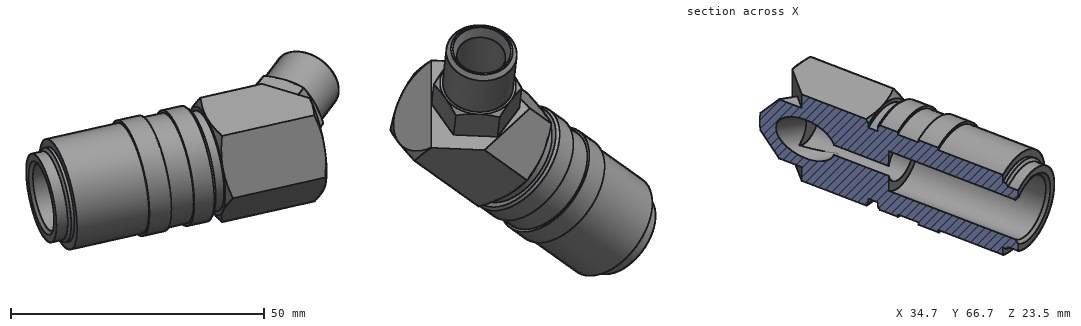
import cadquery as cq
import math

BRANCH_ANGLE = 45
BRANCH_Y = 44.7
HEX_CHAMFER_ANGLE = 30

NOSE_RADIUS = 9.0
LIP_RADIUS = 9.6
SLEEVE_RADIUS = 11.2
COLLAR_RADIUS = 11.75
NECK_RADIUS = 10.2
NOSE_END = 2.35
LIP_END = 3.55
LIP_TAPER_LENGTH = 0.55
FRONT_COLLAR_START = 18.55
FRONT_COLLAR_END = 23.15
REAR_COLLAR_START = 27.95
REAR_COLLAR_END = 32.65
COLLAR_CHAMFER = 0.55

BODY_START = 34.7
BODY_END = 56.0
BODY_FLATS = 22.0
BRANCH_FACE = 7.2

BRANCH_FLATS = 15.1
BRANCH_HEX_END = 14.15
PIPE_END = 25.0
PIPE_RADIUS = 7.0
PIPE_CHAMFER = 0.9

SOCKET_RADIUS = 6.8
SOCKET_DEPTH = 30.0
SOCKET_CHAMFER = 0.7
BORE_RADIUS = 4.8
BORE_END = 51.85
PIPE_MOUTH_RADIUS = 5.75
PIPE_MOUTH_DEPTH = 2.0


def turned(profile):
    """Revolve (radius, Y) points around the Y axis."""
    return cq.Workplane("XY").polyline(profile).close().revolve(360, (0, 0), (0, 1))


def cylinder(radius, start, end):
    return turned([(0, start), (radius, start), (radius, end), (0, end)])


def hexagon(flats, start, end, chamfer_start):
    """Hexagonal bar along Y, corners at +X and -X, with chamfered end corners."""
    corner_radius = flats / math.sqrt(3)
    flat_radius = flats / 2
    drop = (corner_radius - flat_radius) * math.tan(math.radians(HEX_CHAMFER_ANGLE))
    bar = cq.Workplane("XZ", origin=(0, start, 0)).polygon(6, 2 * corner_radius).extrude(start - end)
    envelope = [(0, start)]
    if chamfer_start:
        envelope += [(flat_radius, start), (corner_radius, start + drop)]
    else:
        envelope += [(corner_radius, start)]
    envelope += [(corner_radius, end - drop), (flat_radius, end), (0, end)]
    return bar.intersect(turned(envelope))


def to_branch(shape):
    """Move a shape made along Y from the origin onto the branch axis."""
    return shape.rotate((0, 0, 0), (0, 0, 1), BRANCH_ANGLE).translate((0, BRANCH_Y, 0))


def make_coupling():
    return turned([
        (0, 0),
        (NOSE_RADIUS, 0),
        (NOSE_RADIUS, NOSE_END),
        (LIP_RADIUS, NOSE_END + LIP_TAPER_LENGTH),
        (LIP_RADIUS, LIP_END),
        (SLEEVE_RADIUS, LIP_END),
        (SLEEVE_RADIUS, FRONT_COLLAR_START),
        (COLLAR_RADIUS, FRONT_COLLAR_START),
        (COLLAR_RADIUS, FRONT_COLLAR_END),
        (SLEEVE_RADIUS, FRONT_COLLAR_END),
        (SLEEVE_RADIUS, REAR_COLLAR_START),
        (COLLAR_RADIUS, REAR_COLLAR_START),
        (COLLAR_RADIUS, REAR_COLLAR_END - COLLAR_CHAMFER),
        (COLLAR_RADIUS - COLLAR_CHAMFER, REAR_COLLAR_END),
        (NECK_RADIUS, REAR_COLLAR_END),
        (NECK_RADIUS, BODY_START),
        (0, BODY_START),
    ])


def make_body():
    """Hexagonal body with one corner cut off square to the branch axis."""
    body = hexagon(BODY_FLATS, BODY_START, BODY_END, chamfer_start=True)
    cutter_size = 2 * BODY_END
    cutter = cq.Workplane("XY").box(cutter_size, cutter_size, cutter_size)
    cutter = cutter.translate((0, BRANCH_FACE + cutter_size / 2, 0))
    return body.cut(to_branch(cutter))


def make_branch():
    nut = hexagon(BRANCH_FLATS, BRANCH_FACE, BRANCH_HEX_END, chamfer_start=False)
    pipe = cylinder(PIPE_RADIUS, BRANCH_FACE, PIPE_END).faces(">Y").chamfer(PIPE_CHAMFER)
    return to_branch(nut.union(pipe))


def make_main_bore():
    return turned([
        (0, 0),
        (SOCKET_RADIUS + SOCKET_CHAMFER, 0),
        (SOCKET_RADIUS, SOCKET_CHAMFER),
        (SOCKET_RADIUS, SOCKET_DEPTH),
        (BORE_RADIUS, SOCKET_DEPTH),
        (BORE_RADIUS, BORE_END),
        (0, BORE_END),
    ])


def make_branch_bore():
    return to_branch(turned([
        (0, 0),
        (BORE_RADIUS, 0),
        (BORE_RADIUS, PIPE_END - PIPE_MOUTH_DEPTH),
        (PIPE_MOUTH_RADIUS, PIPE_END),
        (0, PIPE_END),
    ]))


outside = make_coupling().union(make_body()).union(make_branch())
result = outside.cut(make_main_bore()).cut(make_branch_bore())